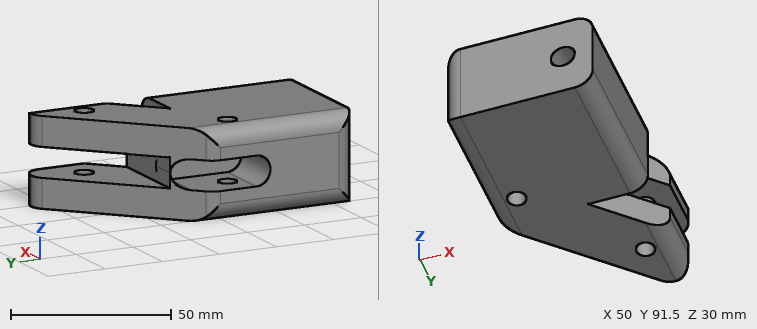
import cadquery as cq

width = 50.0
length = 91.5
height = 30.0
block_length = width
corner_radius = 5.95
notch_x = 30.0

slit_height = 10.0
slit_start_y = 60.0
pocket_start_y = 30.0
pocket_depth = 19.95

pin_diameter = 6.0
pin_centers = [(10.0, 40.0), (40.0, 74.95)]
bore_diameter = 8.0
bore_x = 40.0


def make_plan():
    """Block with a 45 degree arm, extruded to full height."""
    arm_top_x = length - block_length
    notch_end_y = block_length + width - notch_x
    plan = (
        cq.Workplane("XY")
        .polyline([
            (0, 0),
            (width, 0),
            (width, block_length),
            (notch_x, block_length),
            (width, notch_end_y),
            (width, length),
            (arm_top_x, length),
            (0, block_length),
        ])
        .close()
        .extrude(height / 2, both=True)
    )
    rounded_corners = [(0, 0), (width, length), (arm_top_x, length), (0, block_length)]
    for x, y in rounded_corners:
        plan = plan.edges(cq.NearestToPointSelector((x, y, 0))).fillet(corner_radius)
    return plan


def make_section():
    """Rounded bar running along Y that rounds the long edges of the part."""
    return (
        cq.Workplane("XY")
        .box(width, length, height)
        .edges("|Y")
        .fillet(corner_radius)
        .translate((width / 2, length / 2, 0))
    )


def make_slit():
    """Slit open at the arm's end and across the full width."""
    return (
        cq.Workplane("XY")
        .box(width, length - slit_start_y, slit_height, centered=(False, False, True))
        .translate((0, slit_start_y, 0))
    )


def make_pocket():
    """Round-ended pocket sunk into the left side, ending at the slit."""
    return (
        cq.Workplane("YZ")
        .center((pocket_start_y + slit_start_y) / 2, 0)
        .slot2D(slit_start_y - pocket_start_y, slit_height)
        .extrude(pocket_depth)
    )


def make_pin_holes():
    """Vertical holes through the full height."""
    return (
        cq.Workplane("XY")
        .pushPoints(pin_centers)
        .circle(pin_diameter / 2)
        .extrude(height / 2, both=True)
    )


def make_bore():
    """Bore from the front face through the block to the notch."""
    return (
        cq.Workplane("XZ")
        .center(bore_x, 0)
        .circle(bore_diameter / 2)
        .extrude(-block_length)
    )


result = (
    make_plan()
    .intersect(make_section())
    .cut(make_slit())
    .cut(make_pocket())
    .cut(make_pin_holes())
    .cut(make_bore())
)